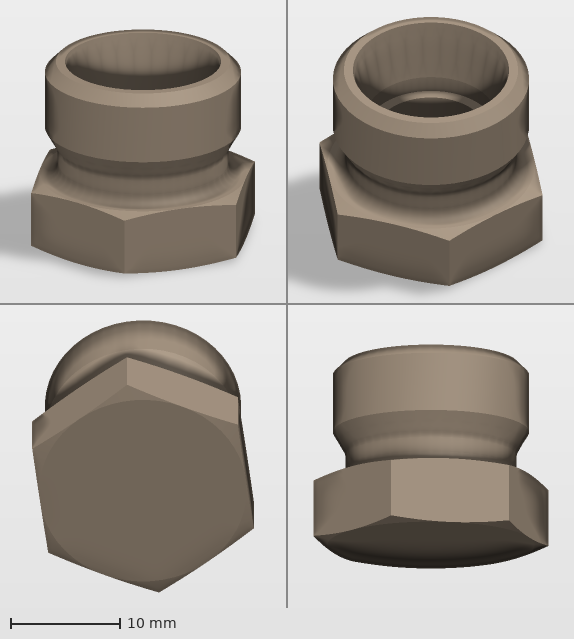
import cadquery as cq
import math

hex_flats = 19.0
hex_height = 6.0
hex_chamfer_angle = 15.0

total_height = 17.0
body_radius = 18.0 / 2
neck_radius = 15.7 / 2
neck_fillet = 1.0
body_bottom = 10.62
shoulder_angle = 30.0
top_chamfer = 1.0

mouth_radius = 7.15
seat_radius = 12.0 / 2
drill_radius = 10.0 / 2
mouth_half_angle = 12.0
seat_depth = 7.0
drill_depth = 5.0
drill_tip_half_angle = 59.0


def revolve_profile(points):
    """Revolve a closed (radius, height) outline about Z."""
    return cq.Workplane("XZ").polyline(points).close().revolve(360, (0, 0), (0, 1))


def make_hex_base():
    """Hexagonal prism with corners on Y and conical chamfers at both ends."""
    flat_radius = hex_flats / 2
    corner_radius = flat_radius / math.cos(math.radians(30))
    corner_drop = (corner_radius - flat_radius) * math.tan(math.radians(hex_chamfer_angle))
    prism = (
        cq.Workplane("XY")
        .polygon(6, 2 * corner_radius)
        .extrude(hex_height)
        .rotate((0, 0, 0), (0, 0, 1), 30)
    )
    envelope = revolve_profile([
        (0, 0),
        (flat_radius, 0),
        (corner_radius, corner_drop),
        (corner_radius, hex_height - corner_drop),
        (flat_radius, hex_height),
        (0, hex_height),
    ])
    return prism.intersect(envelope)


def make_body():
    """Collar and neck, with a fillet at each end of the neck."""
    slope = math.radians(shoulder_angle)
    shoulder_bottom = body_bottom - (body_radius - neck_radius) / math.tan(slope)
    tangent = neck_fillet * math.tan(slope / 2)
    arc_center_radius = neck_radius + neck_fillet
    upper_arc_start = shoulder_bottom - tangent
    lower_arc_center = hex_height + neck_fillet

    def arc_point(center_height, angle):
        return (
            arc_center_radius - neck_fillet * math.cos(angle),
            center_height + neck_fillet * math.sin(angle),
        )

    profile = (
        cq.Workplane("XZ")
        .moveTo(0, hex_height)
        .lineTo(arc_center_radius, hex_height)
        .threePointArc(arc_point(lower_arc_center, -math.pi / 4), (neck_radius, lower_arc_center))
        .lineTo(neck_radius, upper_arc_start)
        .threePointArc(arc_point(upper_arc_start, slope / 2), arc_point(upper_arc_start, slope))
        .lineTo(body_radius, body_bottom)
        .lineTo(body_radius, total_height - top_chamfer)
        .lineTo(body_radius - top_chamfer, total_height)
        .lineTo(0, total_height)
        .close()
    )
    return profile.revolve(360, (0, 0), (0, 1))


def make_bore():
    """Tapered mouth, cylindrical seat and blind drilled hole with a conical tip."""
    taper_depth = (mouth_radius - seat_radius) / math.tan(math.radians(mouth_half_angle))
    seat_height = total_height - seat_depth
    drill_bottom = seat_height - drill_depth
    tip_depth = drill_radius / math.tan(math.radians(drill_tip_half_angle))
    return revolve_profile([
        (0, total_height),
        (mouth_radius, total_height),
        (seat_radius, total_height - taper_depth),
        (seat_radius, seat_height),
        (drill_radius, seat_height),
        (drill_radius, drill_bottom),
        (0, drill_bottom - tip_depth),
    ])


result = make_hex_base().union(make_body()).cut(make_bore())